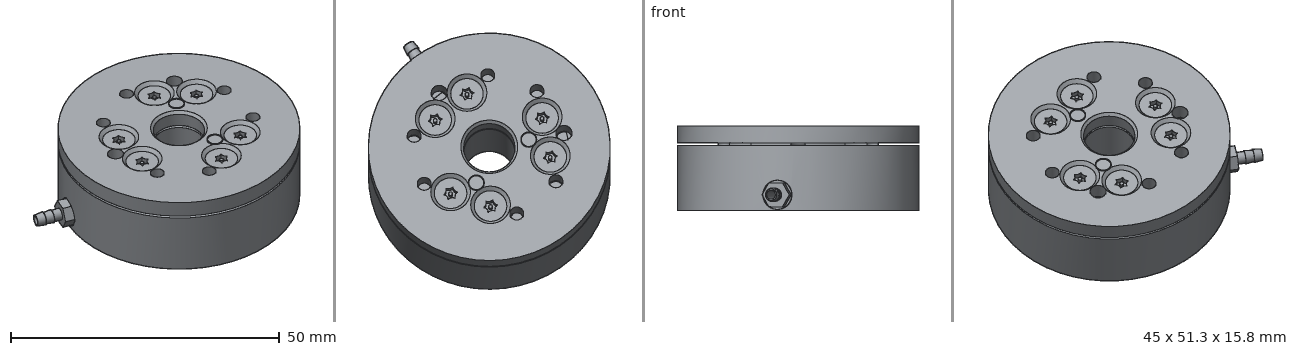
import cadquery as cq
import math

OVERALL_WIDTH_Y = 51.3
BODY_RADIUS = 22.5
BORE_RADIUS = 4.75
OVERALL_HEIGHT = 15.75
PLATE_THICKNESS = 3.2
PAD_HEIGHT = 0.45
HOUSING_HEIGHT = OVERALL_HEIGHT - PLATE_THICKNESS - PAD_HEIGHT
PAD_TOP = HOUSING_HEIGHT + PAD_HEIGHT

LOBE_ANGLES = [30, 150, 270]
LOBE_HALF_ANGLE = 60

PAD_OUTER_RADIUS = 14.9
PAD_INNER_RADIUS = 5.55
SCALLOP_RADIUS = 4.85
SCALLOP_CIRCLE_RADIUS = 12.8

HOLE_CIRCLE_RADIUS = 14.15
MOUNT_HOLE_RADIUS = 1.3
MOUNT_HOLE_OFFSET_ANGLE = 40
DOWEL_RADIUS = 1.5
DOWEL_HOLE_ANGLES = [150, 270]
DOWEL_FLOOR_ABOVE_HOUSING = 0.05

INNER_DOWEL_CIRCLE_RADIUS = 7.5
INNER_DOWEL_ANGLES = [30, 150]
RING_WIDTH = 0.1
RING_DEPTH = 0.15

SCREW_CIRCLE_RADIUS = 11.5
SCREW_OFFSET_ANGLE = 20
SEAT_RADIUS = 3.7
SEAT_DEPTH = 0.65
SOCKET_TIP_RADIUS = 1.3
SOCKET_ROOT_RADIUS = 0.9
SOCKET_POINTS = 6
SOCKET_DEPTH = 1.0
SOCKET_POST_RADIUS = 0.35
SOCKET_POST_HEIGHT = 0.75

BORE_CHAMFER = 0.5

FITTING_ANGLE = 260
FITTING_HEIGHT = 2.9
SPOTFACE_RADIUS = 2.7
SPOTFACE_FLOOR = 22.0
HEX_FACE = 24.1
HEX_SIDES = 6
HEX_ACROSS_FLATS = 4.45
STEM_RADIUS = 1.15
BARB_RADIUS = 1.3
BARB_TIP_RADIUS = 1.1
BARB_LENGTH = 1.65
BARB_COUNT = 2
FITTING_BORE_RADIUS = 0.8
SHANK_RADIUS = 1.3
SHANK_END = 19.5
FITTING_TILT = math.radians(270 - FITTING_ANGLE)
FITTING_END = (
    OVERALL_WIDTH_Y - BODY_RADIUS
    - BARB_TIP_RADIUS * math.sin(FITTING_TILT)
) / math.cos(FITTING_TILT)


def polar(radius, degrees):
    """Point at a distance and direction from the main axis."""
    angle = math.radians(degrees)
    return (radius * math.cos(angle), radius * math.sin(angle))


def cylinders(points, radius, bottom, top):
    """Equal upright cylinders between two levels."""
    return (
        cq.Workplane("XY", origin=(0, 0, bottom))
        .pushPoints(points)
        .circle(radius)
        .extrude(top - bottom)
    )


def lobe_pairs(radius, offset_angle):
    """Points in pairs, one each side of every lobe's centreline."""
    return [
        polar(radius, lobe + side * offset_angle)
        for lobe in LOBE_ANGLES
        for side in (-1, 1)
    ]


MOUNT_HOLES = lobe_pairs(HOLE_CIRCLE_RADIUS, MOUNT_HOLE_OFFSET_ANGLE)
DOWEL_HOLES = [polar(HOLE_CIRCLE_RADIUS, angle) for angle in DOWEL_HOLE_ANGLES]
INNER_DOWELS = [polar(INNER_DOWEL_CIRCLE_RADIUS, angle) for angle in INNER_DOWEL_ANGLES]
SCREWS = lobe_pairs(SCREW_CIRCLE_RADIUS, SCREW_OFFSET_ANGLE)


def along_fitting(solid):
    """Turn a solid built along Z so that it lies on the fitting's axis."""
    return (
        solid.rotate((0, 0, 0), (0, 1, 0), 90)
        .rotate((0, 0, 0), (0, 0, 1), FITTING_ANGLE)
        .translate((0, 0, FITTING_HEIGHT))
    )


def make_pad():
    """Raised three-lobed pad, scalloped between the lobes and cut by the holes."""
    pad = (
        cq.Workplane("XY", origin=(0, 0, HOUSING_HEIGHT))
        .circle(PAD_OUTER_RADIUS)
        .circle(PAD_INNER_RADIUS)
        .extrude(PAD_HEIGHT)
    )
    scallops = [polar(SCALLOP_CIRCLE_RADIUS, lobe + LOBE_HALF_ANGLE) for lobe in LOBE_ANGLES]
    dowel_floor = HOUSING_HEIGHT + DOWEL_FLOOR_ABOVE_HOUSING
    return (
        pad.cut(cylinders(scallops, SCALLOP_RADIUS, HOUSING_HEIGHT, PAD_TOP))
        .cut(cylinders(MOUNT_HOLES, MOUNT_HOLE_RADIUS, HOUSING_HEIGHT, PAD_TOP))
        .cut(cylinders(DOWEL_HOLES, DOWEL_RADIUS, dowel_floor, PAD_TOP))
    )


def make_housing():
    """Round base with a bore, the pad on top, and a spotface and hole for the fitting."""
    base = cq.Workplane("XY").circle(BODY_RADIUS).circle(BORE_RADIUS).extrude(HOUSING_HEIGHT)
    spotface = cylinders([(0, 0)], SPOTFACE_RADIUS, SPOTFACE_FLOOR, BODY_RADIUS)
    shank_hole = cylinders([(0, 0)], SHANK_RADIUS, SHANK_END, SPOTFACE_FLOOR)
    return base.union(make_pad()).cut(along_fitting(spotface.union(shank_hole)))


def make_screw_seat():
    """Cutter for one screw: a 45 degree conical seat and a star socket round a post."""
    cone = cq.Workplane("XY").add(
        cq.Solid.makeCone(SEAT_RADIUS - SEAT_DEPTH, SEAT_RADIUS, SEAT_DEPTH)
    )
    pitch = 360 / SOCKET_POINTS
    first_tip = pitch / 2
    star = cq.Workplane("XY", origin=(0, 0, -SOCKET_DEPTH)).moveTo(*polar(SOCKET_TIP_RADIUS, first_tip))
    for point in range(1, SOCKET_POINTS + 1):
        root = polar(SOCKET_ROOT_RADIUS, point * pitch)
        next_tip = polar(SOCKET_TIP_RADIUS, first_tip + point * pitch)
        star = star.threePointArc(root, next_tip)
    post_top = SOCKET_POST_HEIGHT - SOCKET_DEPTH
    post = cylinders([(0, 0)], SOCKET_POST_RADIUS, -SOCKET_DEPTH, post_top)
    socket = star.close().extrude(SOCKET_DEPTH).cut(post)
    return cone.union(socket)


def make_plate():
    """Round cover plate with screw seats, through holes and flush dowels."""
    plate = (
        cq.Workplane("XY", origin=(0, 0, PAD_TOP))
        .circle(BODY_RADIUS)
        .circle(BORE_RADIUS)
        .extrude(PLATE_THICKNESS)
    )
    bore_edge = cq.selectors.RadiusNthSelector(0)
    plate = plate.faces(">Z").edges(bore_edge).chamfer(BORE_CHAMFER)
    seat = make_screw_seat()
    for x, y in SCREWS:
        plate = plate.cut(seat.translate((x, y, OVERALL_HEIGHT - SEAT_DEPTH)))
    plate = plate.cut(cylinders(MOUNT_HOLES, MOUNT_HOLE_RADIUS, PAD_TOP, OVERALL_HEIGHT))
    plate = plate.cut(cylinders(DOWEL_HOLES, DOWEL_RADIUS, PAD_TOP, OVERALL_HEIGHT))
    ring_floor = OVERALL_HEIGHT - RING_DEPTH
    rings = cylinders(INNER_DOWELS, DOWEL_RADIUS, ring_floor, OVERALL_HEIGHT).cut(
        cylinders(INNER_DOWELS, DOWEL_RADIUS - RING_WIDTH, ring_floor, OVERALL_HEIGHT)
    )
    return plate.cut(rings)


def make_fitting():
    """Hexagon with a shank on the inside and a barbed hose stem outside, bored through."""
    hexagon_diameter = HEX_ACROSS_FLATS / math.cos(math.pi / HEX_SIDES)
    hexagon = (
        cq.Workplane("XY", origin=(0, 0, SPOTFACE_FLOOR))
        .polygon(HEX_SIDES, hexagon_diameter)
        .extrude(HEX_FACE - SPOTFACE_FLOOR)
        .rotate((0, 0, 0), (0, 0, 1), 180 / HEX_SIDES)
    )
    barbs_start = FITTING_END - BARB_COUNT * BARB_LENGTH
    profile = [
        (0, SHANK_END),
        (SHANK_RADIUS, SHANK_END),
        (SHANK_RADIUS, SPOTFACE_FLOOR),
        (STEM_RADIUS, SPOTFACE_FLOOR),
        (STEM_RADIUS, barbs_start),
    ]
    for barb in range(BARB_COUNT):
        start = barbs_start + barb * BARB_LENGTH
        profile += [(BARB_RADIUS, start), (BARB_TIP_RADIUS, start + BARB_LENGTH)]
    profile.append((0, FITTING_END))
    stem = cq.Workplane("XZ").polyline(profile).close().revolve(360, (0, 0, 0), (0, 1, 0))
    bore = cylinders([(0, 0)], FITTING_BORE_RADIUS, SHANK_END, FITTING_END)
    return along_fitting(hexagon.union(stem).cut(bore))


housing = make_housing()
plate = make_plate()
fitting = make_fitting()

result = cq.Compound.makeCompound([housing.val(), plate.val(), fitting.val()])